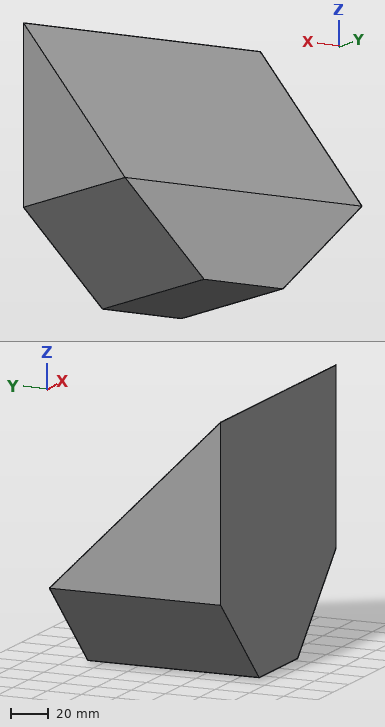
import cadquery as cq

width = 150.0
height = width
corner_cut = width / 3
depth = height - corner_cut

half_width = width / 2
half_base = half_width - corner_cut


def tapered_block():
    """Block with both lower corners cut, running back from the front face at Y = 0."""
    return (
        cq.Workplane("XZ")
        .moveTo(-half_base, 0)
        .lineTo(half_base, 0)
        .lineTo(half_width, corner_cut)
        .lineTo(half_width, height)
        .lineTo(-half_width, height)
        .lineTo(-half_width, corner_cut)
        .close()
        .extrude(-depth)
    )


def roof_wedge():
    """Material above the roof, which slopes from the front top edge down to the back."""
    return (
        cq.Workplane("YZ")
        .moveTo(0, height)
        .lineTo(depth, height)
        .lineTo(depth, corner_cut)
        .close()
        .extrude(half_width, both=True)
    )


result = tapered_block().cut(roof_wedge())